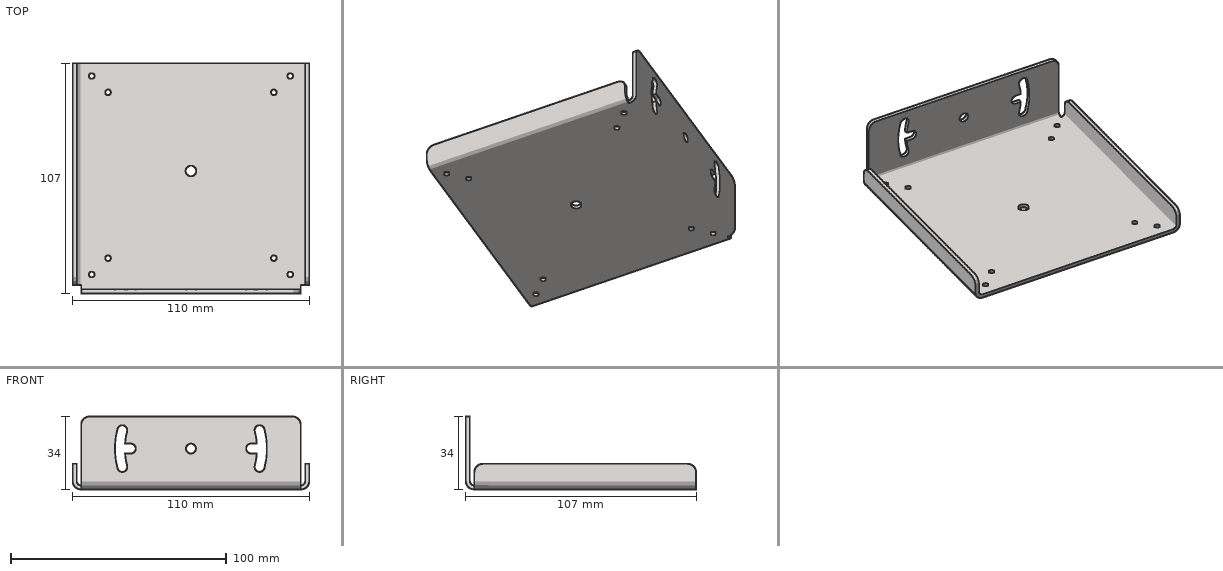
import cadquery as cq
import math

width = 110.0
depth = 107.0
front_height = 34.0
side_height = 12.0

sheet = 2.0
bend_radius = 4.0
corner_radius = 4.0

base_width = width - 2 * bend_radius
base_depth = depth - bend_radius

centre_hole_diameter = 4.8
centre_hole_from_back = 50.0
mount_pattern_from_back = 52.0
mount_hole_diameter = 2.5
mount_half_spacings = (46.1, 38.5)

pivot_height = 19.0
pivot_diameter = 4.5
slot_width = 4.5
slot_arc_radius = 33.0
slot_half_angle = 15.0
notch_centre = 27.9


def bent_flange(height, length):
    """Flange along +Y that leaves the base at X = 0, bends up and ends in a vertical wall at +X."""
    inner_radius = bend_radius - sheet
    diagonal = math.sqrt(0.5)
    flange = (
        cq.Workplane("XZ")
        .lineTo(0, sheet)
        .threePointArc(
            (inner_radius * diagonal, bend_radius - inner_radius * diagonal),
            (inner_radius, bend_radius),
        )
        .lineTo(inner_radius, height)
        .lineTo(bend_radius, height)
        .lineTo(bend_radius, bend_radius)
        .threePointArc((bend_radius * diagonal, bend_radius * (1 - diagonal)), (0, 0))
        .close()
        .extrude(-length)
    )
    return flange.faces(">Z").edges("|X").fillet(corner_radius)


def pivot_plane(x=0):
    """Workplane of the front flange at pivot height, offset along X from the pivot."""
    return cq.Workplane("XZ").center(x, pivot_height)


def front_cutter(sketch):
    """Turn a closed outline on the XZ plane into a cutter that reaches through the front flange."""
    return sketch.extrude(2 * bend_radius)


def arc_slot(side):
    """Slot curved about the pivot, with a round-ended notch pointing at the pivot."""
    inner = slot_arc_radius - slot_width / 2
    outer = slot_arc_radius + slot_width / 2
    angle = math.radians(slot_half_angle)
    end_offset = slot_width / 2

    def point(radius, turn, along=0):
        x = radius * math.cos(turn) - along * math.sin(turn)
        z = radius * math.sin(turn) + along * math.cos(turn)
        return side * x, z

    curve = (
        pivot_plane()
        .moveTo(*point(outer, -angle))
        .threePointArc(point(outer, 0), point(outer, angle))
        .threePointArc(point(slot_arc_radius, angle, end_offset), point(inner, angle))
        .threePointArc(point(inner, 0), point(inner, -angle))
        .threePointArc(point(slot_arc_radius, -angle, -end_offset), point(outer, -angle))
        .close()
    )
    notch_length = slot_arc_radius - notch_centre
    notch_middle = side * (notch_centre + slot_arc_radius) / 2
    notch_end = pivot_plane(side * notch_centre).circle(slot_width / 2)
    notch_body = pivot_plane(notch_middle).rect(notch_length, slot_width)
    return front_cutter(curve).union(front_cutter(notch_body)).union(front_cutter(notch_end))


base = cq.Workplane("XY").box(base_width, base_depth, sheet, centered=(True, False, False))
right_flange = bent_flange(side_height, base_depth).translate((base_width / 2, 0, 0))
left_flange = right_flange.mirror("YZ")
front_flange = (
    bent_flange(front_height, base_width)
    .rotate((0, 0, 0), (0, 0, 1), -90)
    .translate((-base_width / 2, 0, 0))
)
body = base.union(right_flange).union(left_flange).union(front_flange)

mount_points = [
    (x_sign * half, base_depth - mount_pattern_from_back + y_sign * half)
    for half in mount_half_spacings
    for x_sign in (-1, 1)
    for y_sign in (-1, 1)
]
base_holes = (
    cq.Workplane("XY")
    .pushPoints(mount_points)
    .circle(mount_hole_diameter / 2)
    .extrude(sheet)
)
centre_hole = (
    cq.Workplane("XY")
    .center(0, base_depth - centre_hole_from_back)
    .circle(centre_hole_diameter / 2)
    .extrude(sheet)
)
body = body.cut(base_holes).cut(centre_hole)

pivot = pivot_plane().circle(pivot_diameter / 2)
body = body.cut(front_cutter(pivot))
for slot_side in (-1, 1):
    body = body.cut(arc_slot(slot_side))

result = body